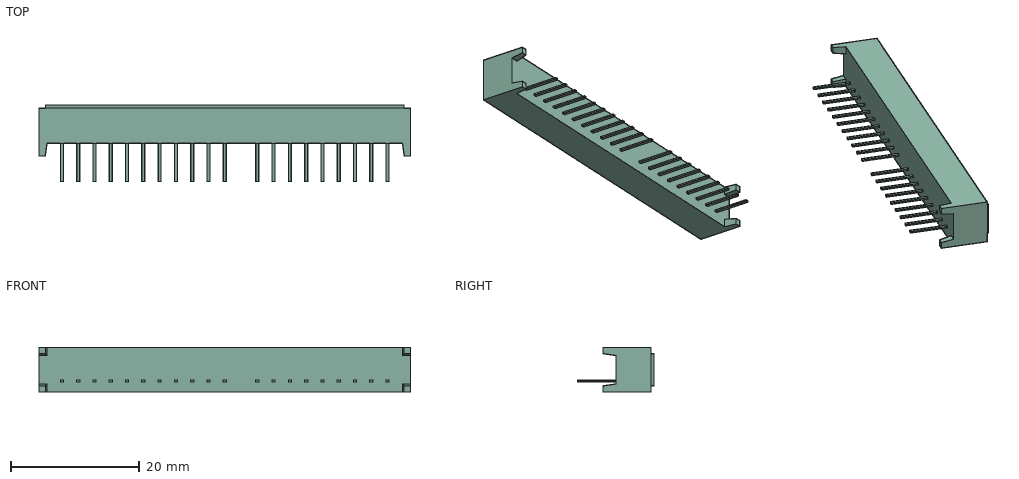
import cadquery as cq

BODY_LENGTH = 58.0
BODY_HEIGHT = 7.0
BODY_DEPTH = 5.5

FACE_LENGTH = 56.0
FACE_HEIGHT = 5.0
FACE_THICKNESS = 0.5

FOOT_LENGTH = 2.0
FOOT_BASE_SIZE = 1.3
FOOT_TIP_SIZE = 1.0

PIN_PITCH = 2.54
PIN_POSITIONS = 21
EMPTY_POSITION = 11
PIN_WIDTH = 0.5
PIN_THICKNESS = 0.25
PIN_LENGTH = 6.0
PIN_HEIGHT_ABOVE_BASE = 1.75

PIN_Z = PIN_HEIGHT_ABOVE_BASE - BODY_HEIGHT / 2


def block(length, depth, height, y_start):
    """Box centred on X and Z that runs from y_start towards +Y."""
    return (
        cq.Workplane("XY")
        .box(length, depth, height, centered=(True, False, True))
        .translate((0, y_start, 0))
    )


def corner_square(x_side, z_side, size, y):
    """Square wire at depth y with one corner on a housing corner."""
    x_outer = x_side * BODY_LENGTH / 2
    z_outer = z_side * BODY_HEIGHT / 2
    x_inner = x_outer - x_side * size
    z_inner = z_outer - z_side * size
    corners = [
        cq.Vector(x_outer, y, z_outer),
        cq.Vector(x_inner, y, z_outer),
        cq.Vector(x_inner, y, z_inner),
        cq.Vector(x_outer, y, z_inner),
    ]
    return cq.Wire.makePolygon(corners, close=True)


def foot(x_side, z_side):
    """Foot flush with the outer faces, its two inner faces tapering to the tip."""
    base = corner_square(x_side, z_side, FOOT_BASE_SIZE, 0)
    tip = corner_square(x_side, z_side, FOOT_TIP_SIZE, -FOOT_LENGTH)
    return cq.Workplane(cq.Solid.makeLoft([base, tip], True))


def pin(position):
    """Flat pin standing out of the mounting side at a numbered position."""
    x = (position - (PIN_POSITIONS - 1) / 2) * PIN_PITCH
    return block(PIN_WIDTH, PIN_LENGTH, PIN_THICKNESS, -PIN_LENGTH).translate((x, 0, PIN_Z))


result = block(BODY_LENGTH, BODY_DEPTH, BODY_HEIGHT, 0)
result = result.union(block(FACE_LENGTH, FACE_THICKNESS, FACE_HEIGHT, BODY_DEPTH))

for x_side in (-1, 1):
    for z_side in (-1, 1):
        result = result.union(foot(x_side, z_side))

for position in range(PIN_POSITIONS):
    if position != EMPTY_POSITION:
        result = result.union(pin(position))